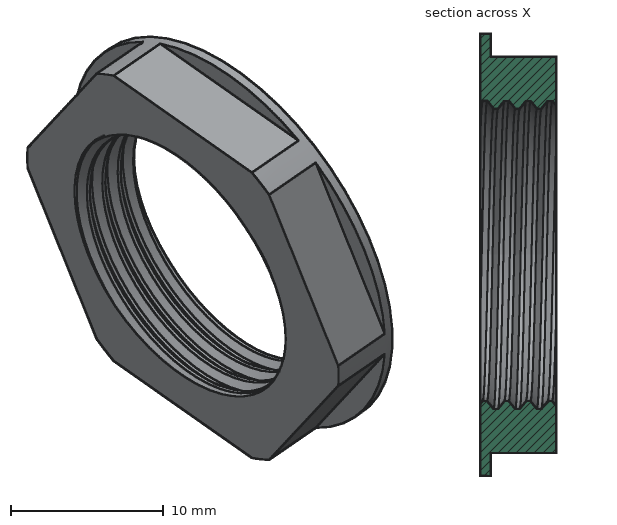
import cadquery as cq

outer_diameter = 29.0
nut_height = 5.0
flange_thickness = 0.7
across_flats = 25.98
corner_turn = 30.0

crest_radius = 9.57
thread_depth = 0.52
thread_pitch = 1.42
root_width = 0.3
crest_width = 0.3
flank_width = (thread_pitch - root_width - crest_width) / 2
root_exit_angle = 195.0
turns_below_end = 4
groove_turns = 6
cutter_overlap = 0.1


def make_blank():
    """Flange disc and hexagon with corners rounded to the disc, axis along Z."""
    disc = cq.Workplane("XY").circle(outer_diameter / 2).extrude(nut_height)
    flange = cq.Workplane("XY").circle(outer_diameter / 2).extrude(flange_thickness)
    hexagon = (
        cq.Workplane("XY")
        .polygon(6, across_flats, circumscribed=True)
        .extrude(nut_height)
        .rotate((0, 0, 0), (0, 0, 1), corner_turn)
    )
    return disc.intersect(hexagon).union(flange)


def make_groove_turn():
    """First single turn of the trapezoidal groove, swept along a helix around Z."""
    start_z = nut_height - thread_pitch * (turns_below_end + root_exit_angle / 360)
    inner_radius = crest_radius - cutter_overlap
    root_radius = crest_radius + thread_depth
    half_root = root_width / 2
    half_mouth = half_root + flank_width * (root_radius - inner_radius) / thread_depth
    helix = cq.Wire.makeHelix(thread_pitch, thread_pitch, crest_radius)
    groove = (
        cq.Workplane("XZ")
        .polyline([
            (inner_radius, -half_mouth),
            (root_radius, -half_root),
            (root_radius, half_root),
            (inner_radius, half_mouth),
        ])
        .close()
        .sweep(cq.Workplane(obj=helix), isFrenet=True)
    )
    return groove.translate((0, 0, start_z))


bore = cq.Workplane("XY").circle(crest_radius).extrude(nut_height)
nut = make_blank().cut(bore)
groove_turn = make_groove_turn()
for turn in range(groove_turns):
    nut = nut.cut(groove_turn.translate((0, 0, turn * thread_pitch)))

result = nut.rotate((0, 0, 0), (1, 0, 0), 90)